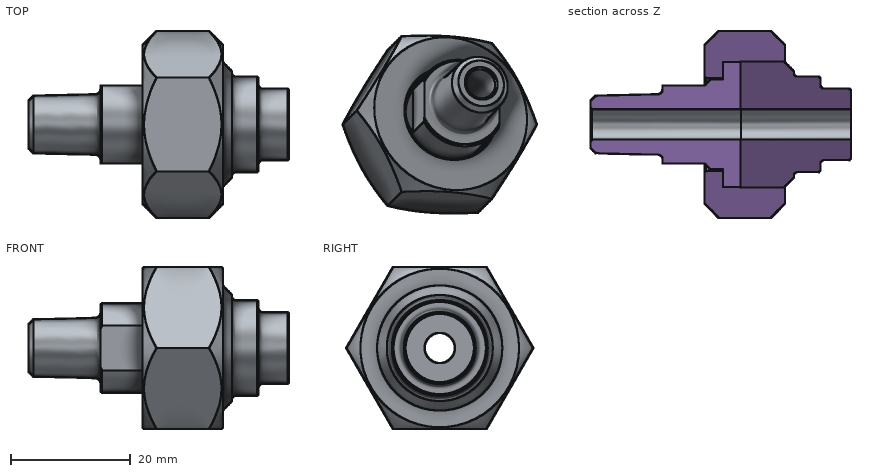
import cadquery as cq
import math


LENGTH = 43.5
BORE_DIAMETER = 5.0

MOUTH_DIAMETER = 5.65
TIP_DIAMETER = 7.87
TIP_CHAMFER_LENGTH = 0.85
TAPER_START_DIAMETER = 9.65
TAPER_END_DIAMETER = 10.15
COLLAR_START = 12.0
COLLAR_DIAMETER = 15.0
COLLAR_CHAMFER = 0.3
TAPER_FILLET = 0.8
FLAT_WIDTH = 13.0

NUT_START = 19.0
NUT_LENGTH = 13.5
HEX_WIDTH = 27.0
NUT_FACE_DIAMETER = 26.45
NUT_BORE_DIAMETER = 15.5
NUT_MOUTH_DIAMETER = 16.0
SEAT_DIAMETER = 20.9
LIP_LENGTH = 3.05
NUT_END = NUT_START + NUT_LENGTH
SEAT_START = NUT_START + LIP_LENGTH

FLANGE_LENGTH = 3.05
JOINT = SEAT_START + FLANGE_LENGTH
SHOULDER_END = 33.97
SHOULDER_END_DIAMETER = 17.7
STEP_DIAMETER = 16.0
STEP_END = 38.4
STEP_CHAMFER = 0.3
SPIGOT_DIAMETER = 12.0
SPIGOT_CHAMFER = 0.3
BODY_FILLET = 0.55


def revolve_about_x(profile):
    """Turn a closed (x, radius) profile around the X axis."""
    return profile.close().revolve(360, (0, 0, 0), (1, 0, 0))


def root_arc(profile, end, centre, radius, x_direction):
    """Add a quarter-round root fillet, bulging inward and toward x_direction."""
    offset = radius * math.sqrt(0.5)
    middle = (centre[0] + x_direction * offset, centre[1] - offset)
    return profile.threePointArc(middle, end)


def make_tailpiece():
    bore_radius = BORE_DIAMETER / 2
    mouth_radius = MOUTH_DIAMETER / 2
    mouth_depth = mouth_radius - bore_radius
    collar_radius = COLLAR_DIAMETER / 2
    root_start = (COLLAR_START - TAPER_FILLET, TAPER_END_DIAMETER / 2)
    root_end = (COLLAR_START, TAPER_END_DIAMETER / 2 + TAPER_FILLET)
    profile = (
        cq.Workplane("XY")
        .moveTo(mouth_depth, bore_radius)
        .lineTo(0, mouth_radius)
        .lineTo(0, TIP_DIAMETER / 2)
        .lineTo(TIP_CHAMFER_LENGTH, TAPER_START_DIAMETER / 2)
        .lineTo(*root_start)
    )
    profile = root_arc(profile, root_end, (root_start[0], root_end[1]), TAPER_FILLET, 1)
    profile = (
        profile.lineTo(COLLAR_START, collar_radius - COLLAR_CHAMFER)
        .lineTo(COLLAR_START + COLLAR_CHAMFER, collar_radius)
        .lineTo(SEAT_START, collar_radius)
        .lineTo(SEAT_START, SEAT_DIAMETER / 2)
        .lineTo(JOINT, SEAT_DIAMETER / 2)
        .lineTo(JOINT, bore_radius)
    )
    tailpiece = revolve_about_x(profile)
    return tailpiece.cut(make_flat_cutter(1)).cut(make_flat_cutter(-1))


def make_flat_cutter(side):
    """Wrench flat on one side of the collar, with a 45 degree run-out."""
    inner = FLAT_WIDTH / 2
    outer = COLLAR_DIAMETER / 2
    run_out = outer - inner
    return (
        cq.Workplane("XY")
        .moveTo(COLLAR_START, side * inner)
        .lineTo(NUT_START, side * inner)
        .lineTo(NUT_START + run_out, side * outer)
        .lineTo(COLLAR_START, side * outer)
        .close()
        .extrude(outer, both=True)
    )


def make_nut():
    corner_diameter = HEX_WIDTH / math.cos(math.pi / 6)
    hexagon = (
        cq.Workplane("YZ")
        .workplane(offset=NUT_START)
        .polygon(6, corner_diameter)
        .extrude(NUT_LENGTH)
    )
    face_radius = NUT_FACE_DIAMETER / 2
    corner_radius = corner_diameter / 2
    chamfer = corner_radius - face_radius
    bore_radius = NUT_BORE_DIAMETER / 2
    mouth_radius = NUT_MOUTH_DIAMETER / 2
    seat_radius = SEAT_DIAMETER / 2
    envelope = revolve_about_x(
        cq.Workplane("XY")
        .moveTo(NUT_START, mouth_radius)
        .lineTo(NUT_START, face_radius)
        .lineTo(NUT_START + chamfer, corner_radius)
        .lineTo(NUT_END - chamfer, corner_radius)
        .lineTo(NUT_END, face_radius)
        .lineTo(NUT_END, seat_radius)
        .lineTo(SEAT_START, seat_radius)
        .lineTo(SEAT_START, bore_radius)
        .lineTo(NUT_START + mouth_radius - bore_radius, bore_radius)
    )
    return hexagon.intersect(envelope)


def make_pipe_body():
    bore_radius = BORE_DIAMETER / 2
    seat_radius = SEAT_DIAMETER / 2
    shoulder_radius = SHOULDER_END_DIAMETER / 2
    step_radius = STEP_DIAMETER / 2
    spigot_radius = SPIGOT_DIAMETER / 2
    step_root_start = (SHOULDER_END, step_radius + BODY_FILLET)
    step_root_end = (SHOULDER_END + BODY_FILLET, step_radius)
    spigot_root_start = (STEP_END, spigot_radius + BODY_FILLET)
    spigot_root_end = (STEP_END + BODY_FILLET, spigot_radius)
    profile = (
        cq.Workplane("XY")
        .moveTo(JOINT, bore_radius)
        .lineTo(JOINT, seat_radius)
        .lineTo(SHOULDER_END - (seat_radius - shoulder_radius), seat_radius)
        .lineTo(SHOULDER_END, shoulder_radius)
        .lineTo(*step_root_start)
    )
    step_root_centre = (step_root_end[0], step_root_start[1])
    profile = root_arc(profile, step_root_end, step_root_centre, BODY_FILLET, -1)
    profile = (
        profile.lineTo(STEP_END - STEP_CHAMFER, step_radius)
        .lineTo(STEP_END, step_radius - STEP_CHAMFER)
        .lineTo(*spigot_root_start)
    )
    spigot_root_centre = (spigot_root_end[0], spigot_root_start[1])
    profile = root_arc(profile, spigot_root_end, spigot_root_centre, BODY_FILLET, -1)
    profile = (
        profile.lineTo(LENGTH - SPIGOT_CHAMFER, spigot_radius)
        .lineTo(LENGTH, spigot_radius - SPIGOT_CHAMFER)
        .lineTo(LENGTH, bore_radius)
    )
    return revolve_about_x(profile)


tailpiece = make_tailpiece()
nut = make_nut()
pipe_body = make_pipe_body()

result = cq.Compound.makeCompound([tailpiece.val(), nut.val(), pipe_body.val()])